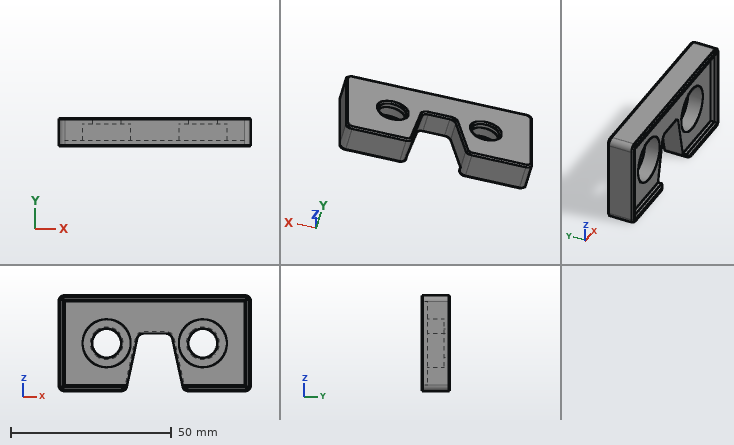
import cadquery as cq

LENGTH = 60.0
HEIGHT = 30.0
THICKNESS = 9.0
CORNER_RADIUS = 2.0
EDGE_CHAMFER = 0.6
CHAMFER_ANGLE = 45

RECESS_DEPTH = 2.0
FLOOR_INSET = 2.05
LEAD_IN = 0.7

HOLE_SPACING = LENGTH / 2
HOLE_DIAMETER = 9.0
COUNTERBORE_DIAMETER = 15.0
HOLE_STEP_DEPTH = 7.0

NOTCH_TOP_WIDTH = 10.2
NOTCH_BOTTOM_WIDTH = 18.0
NOTCH_DEPTH = 18.0

FRONT_Y = -THICKNESS / 2
BOTTOM_Z = -HEIGHT / 2
TOP_Z = HEIGHT / 2


def front_plane(depth):
    """Sketch plane facing -Y, at a depth behind the front rim."""
    return cq.Workplane("XZ", origin=(0, FRONT_Y + depth, 0))


def make_body():
    """Notched plate, rounded at its corners and chamfered along its outer edges."""
    notch_top_z = BOTTOM_Z + NOTCH_DEPTH
    outline = [
        (-LENGTH / 2, TOP_Z),
        (LENGTH / 2, TOP_Z),
        (LENGTH / 2, BOTTOM_Z),
        (NOTCH_BOTTOM_WIDTH / 2, BOTTOM_Z),
        (NOTCH_TOP_WIDTH / 2, notch_top_z),
        (-NOTCH_TOP_WIDTH / 2, notch_top_z),
        (-NOTCH_BOTTOM_WIDTH / 2, BOTTOM_Z),
        (-LENGTH / 2, BOTTOM_Z),
    ]
    plate = front_plane(0).polyline(outline).close().extrude(-THICKNESS)
    rounded = plate.edges("|Y").fillet(CORNER_RADIUS)
    return rounded.faces("<Y or >Y").edges().chamfer(EDGE_CHAMFER)


def make_recess():
    """Rectangular pocket volume that widens toward the front rim."""
    floor_length = LENGTH - 2 * FLOOR_INSET
    floor_height = HEIGHT - 2 * FLOOR_INSET
    straight = front_plane(0).rect(floor_length, floor_height).extrude(-RECESS_DEPTH)
    lead_in = (
        front_plane(0)
        .rect(floor_length + 2 * LEAD_IN, floor_height + 2 * LEAD_IN)
        .workplane(offset=-LEAD_IN)
        .rect(floor_length, floor_height)
        .loft(ruled=True)
    )
    return straight.union(lead_in)


def make_holes():
    """Through holes with wide counterbores opening into the recess and chamfered back mouths."""
    centers = [(-HOLE_SPACING / 2, 0), (HOLE_SPACING / 2, 0)]
    through = front_plane(0).pushPoints(centers).circle(HOLE_DIAMETER / 2).extrude(-THICKNESS)
    bores = front_plane(0).pushPoints(centers).circle(COUNTERBORE_DIAMETER / 2).extrude(-HOLE_STEP_DEPTH)
    back_mouths = (
        front_plane(THICKNESS)
        .pushPoints(centers)
        .circle(HOLE_DIAMETER / 2 + EDGE_CHAMFER)
        .extrude(EDGE_CHAMFER, taper=CHAMFER_ANGLE)
    )
    return through.union(bores).union(back_mouths)


result = make_body().cut(make_recess()).cut(make_holes())